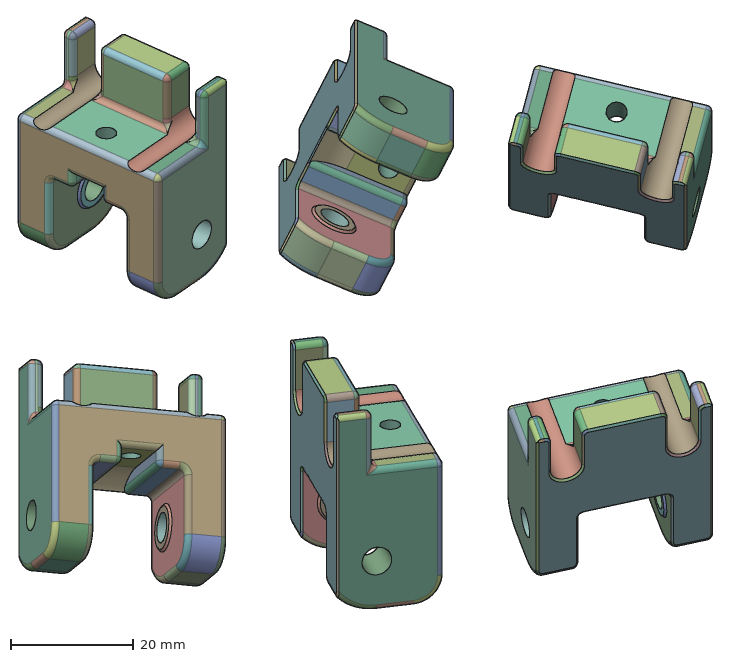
import cadquery as cq
import math

WIDTH = 30.0
DEPTH = 18.0
HEIGHT = 36.03
SIDE_X = WIDTH / 2
FRONT_Y = -DEPTH / 2
BACK_Y = DEPTH / 2

EDGE_RADIUS = 1.0
POST_TOP_RADIUS = 0.83
BACK_CHAMFER = 0.35

SHELF_Z = 25.87
POST_FRONT_Y = BACK_Y - 6.0

CHANNEL_X = 9.9
CHANNEL_RADIUS = 2.65
CHANNEL_FLOOR_Z = 25.1
CHANNEL_CENTRE_Z = CHANNEL_FLOOR_Z + CHANNEL_RADIUS

SLOT_WIDTH = 15.78
SLOT_ROOF_Z = 16.07
SLOT_CORNER_RADIUS = 1.0
LEG_FRONT_RADIUS = 5.0

PIN_Y = BACK_Y - 6.755
PIN_Z = 9.0
PIN_HOLE_DIAMETER = 5.0
BOSS_BASE_DIAMETER = 8.0
BOSS_HEIGHT = 0.4

POCKET_WIDTH = 6.0
POCKET_RADIUS = 9.8

SHELF_HOLE_DIAMETER = 3.4
SHELF_HOLE_Y = FRONT_Y + 5.0

OVERCUT = 1.8
TOLERANCE = 0.0005


def on_arc(centre, radius, angle):
    """Point on a circle, with the angle in radians."""
    return (centre[0] + radius * math.cos(angle), centre[1] + radius * math.sin(angle))


def side_profile_body():
    """L-shaped side profile with rounded leg ends, extruded over the full width."""
    pin = (PIN_Y, PIN_Z)
    down = -math.pi / 2
    back_angle = -math.acos((BACK_Y - PIN_Y) / PIN_Z)
    front_centre = (FRONT_Y + LEG_FRONT_RADIUS, LEG_FRONT_RADIUS)
    return (
        cq.Workplane("YZ", origin=(-SIDE_X, 0, 0))
        .moveTo(BACK_Y, HEIGHT)
        .lineTo(POST_FRONT_Y, HEIGHT)
        .lineTo(POST_FRONT_Y, SHELF_Z)
        .lineTo(FRONT_Y, SHELF_Z)
        .lineTo(FRONT_Y, LEG_FRONT_RADIUS)
        .threePointArc(
            on_arc(front_centre, LEG_FRONT_RADIUS, -3 * math.pi / 4),
            on_arc(front_centre, LEG_FRONT_RADIUS, down),
        )
        .lineTo(PIN_Y, 0)
        .threePointArc(
            on_arc(pin, PIN_Z, (down + back_angle) / 2),
            on_arc(pin, PIN_Z, back_angle),
        )
        .close()
        .extrude(WIDTH)
    )


def fork_slot():
    return (
        cq.Workplane("XY")
        .box(SLOT_WIDTH, DEPTH + 2 * OVERCUT, 2 * SLOT_ROOF_Z)
        .edges("|Y and >Z")
        .fillet(SLOT_CORNER_RADIUS)
    )


def pocket():
    """Flat roof at the front that curves down about the pin; its mouth flares into the slot roof."""
    pin = (PIN_Y, PIN_Z)
    roof = (
        cq.Workplane("YZ", origin=(-SIDE_X, 0, 0))
        .moveTo(FRONT_Y - OVERCUT, PIN_Z)
        .lineTo(FRONT_Y - OVERCUT, PIN_Z + POCKET_RADIUS)
        .lineTo(PIN_Y, PIN_Z + POCKET_RADIUS)
        .threePointArc(on_arc(pin, POCKET_RADIUS, math.pi / 4), on_arc(pin, POCKET_RADIUS, 0))
        .close()
        .extrude(WIDTH)
    )
    wall_x = POCKET_WIDTH / 2
    mouth_x = wall_x + EDGE_RADIUS
    flare_top_z = SLOT_ROOF_Z + EDGE_RADIUS
    left_flare = (-mouth_x, flare_top_z)
    right_flare = (mouth_x, flare_top_z)
    return (
        cq.Workplane("XZ", origin=(0, BACK_Y + OVERCUT, 0))
        .moveTo(-mouth_x, PIN_Z)
        .lineTo(-mouth_x, SLOT_ROOF_Z)
        .threePointArc(on_arc(left_flare, EDGE_RADIUS, -math.pi / 4), (-wall_x, flare_top_z))
        .lineTo(-wall_x, SHELF_Z)
        .lineTo(wall_x, SHELF_Z)
        .lineTo(wall_x, flare_top_z)
        .threePointArc(on_arc(right_flare, EDGE_RADIUS, -3 * math.pi / 4), (mouth_x, SLOT_ROOF_Z))
        .lineTo(mouth_x, PIN_Z)
        .close()
        .extrude(DEPTH + 2 * OVERCUT)
        .intersect(roof)
    )


def channel(x):
    centre = (0, CHANNEL_CENTRE_Z)
    top_z = HEIGHT + OVERCUT
    return (
        cq.Workplane("XZ", origin=(x, BACK_Y + OVERCUT, 0))
        .moveTo(-CHANNEL_RADIUS, top_z)
        .lineTo(-CHANNEL_RADIUS, CHANNEL_CENTRE_Z)
        .threePointArc(on_arc(centre, CHANNEL_RADIUS, -math.pi / 2), (CHANNEL_RADIUS, CHANNEL_CENTRE_Z))
        .lineTo(CHANNEL_RADIUS, top_z)
        .close()
        .extrude(DEPTH + 2 * OVERCUT)
    )


def boss(side):
    """Disc with a 45 degree rim, on the inner wall of the leg at side -1 (left) or +1 (right)."""
    wall_x = side * SLOT_WIDTH / 2
    return (
        cq.Workplane("YZ", origin=(wall_x, PIN_Y, PIN_Z))
        .circle(BOSS_BASE_DIAMETER / 2)
        .extrude(-side * BOSS_HEIGHT, taper=45)
    )


def near(a, b):
    return abs(a - b) < TOLERANCE


def is_outer_edge(edge):
    """Front-face and side-face outlines, leg end edges inside the slot, and the post top front."""
    box = edge.BoundingBox()
    if near(box.ymin, BACK_Y):
        return False
    across_x = near(box.xmin, box.xmax)
    on_front = near(box.ymax, FRONT_Y)
    on_side = across_x and near(abs(box.xmin), SIDE_X)
    on_slot_end = across_x and near(abs(box.xmin), SLOT_WIDTH / 2) and box.zmax < PIN_Z
    on_top_front = near(box.zmin, HEIGHT) and near(box.ymax, POST_FRONT_Y)
    on_top_side = near(box.zmin, HEIGHT) and on_side
    return on_front or on_slot_end or on_top_front or (on_side and not on_top_side)


def is_post_edge(edge):
    """Post edges along the channels, and the inside corners where posts meet the shelf."""
    box = edge.BoundingBox()
    on_post_front = near(box.ymin, POST_FRONT_Y) and near(box.ymax, POST_FRONT_Y)
    on_shelf = near(box.zmin, SHELF_Z) and near(box.zmax, SHELF_Z)
    from_centre = abs(abs(edge.Center().x) - CHANNEL_X)
    beside_channel = from_centre < CHANNEL_RADIUS + TOLERANCE
    return on_post_front and (on_shelf or beside_channel)


def round_edges(part, wanted):
    edges = [edge for edge in part.edges().vals() if wanted(edge)]
    return part.newObject(edges).fillet(EDGE_RADIUS)


body = side_profile_body().cut(fork_slot()).cut(pocket())
body = round_edges(body, is_outer_edge)

for channel_x in (-CHANNEL_X, CHANNEL_X):
    body = body.cut(channel(channel_x))
body = round_edges(body, is_post_edge)
body = body.faces(">Y").edges().chamfer(BACK_CHAMFER)
body = body.faces(">Z").edges("|Y").fillet(POST_TOP_RADIUS)

for side in (-1, 1):
    body = body.union(boss(side))
pin_hole = (
    cq.Workplane("YZ", origin=(-SIDE_X, PIN_Y, PIN_Z))
    .circle(PIN_HOLE_DIAMETER / 2)
    .extrude(WIDTH)
)
shelf_hole = (
    cq.Workplane("XY", origin=(0, SHELF_HOLE_Y, SLOT_ROOF_Z))
    .circle(SHELF_HOLE_DIAMETER / 2)
    .extrude(HEIGHT - SLOT_ROOF_Z)
)
result = body.cut(pin_hole).cut(shelf_hole)